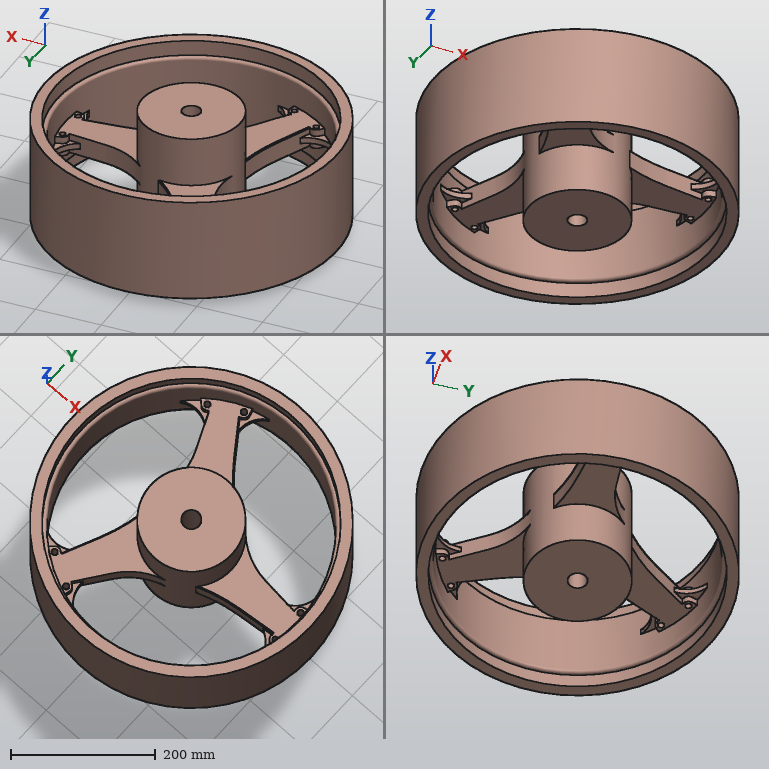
import cadquery as cq
import math

RIM_RADIUS = 223.5
RIM_HEIGHT = 155.5
BORE_RADIUS = 200.0
COUNTERBORE_RADIUS = 206.5
COUNTERBORE_DEPTH = 23.3
SHOULDER_FILLET = 4.0

HUB_RADIUS = 75.0
HUB_HEIGHT = 180.0
SHAFT_HOLE_RADIUS = 14.0

ARM_COUNT = 3
ARM_THICKNESS = 30.0
ARM_AXIS_OFFSET = -8.0
ARM_END_RADIUS = 198.0
ARM_ROOT_ANGLE = 43.0
TAPER_START = 120.7
TAPER_START_HALF_WIDTH = 27.7
TAPER_ANGLE = 5.8
ARM_EDGE_CHAMFER = 1.55

BOLT_DISTANCE = 188.0
BOLT_SPACING = 52.0
BOLT_HOLE_RADIUS = 4.5
LUG_RADIUS = 8.5
LUG_FLARE_ANGLE = 15.0

FLANGE_THICKNESS = 9.0
FLANGE_ARC_DISTANCE = 145.5
FLANGE_ARC_OFFSET = 62.0
FLANGE_ARC_RADIUS = 42.0

SIDES = (1, -1)


def disc(radius, thickness):
    """A round plate about the Z axis, centred on the mid-plane."""
    return cq.Workplane("XY").circle(radius).extrude(thickness / 2, both=True)


def make_rim():
    """Ring with a counterbore at each end and rounded shoulders at the bore."""
    half_height = RIM_HEIGHT / 2
    shoulder = half_height - COUNTERBORE_DEPTH
    rim = (
        cq.Workplane("XZ")
        .polyline([
            (BORE_RADIUS, -shoulder),
            (COUNTERBORE_RADIUS, -shoulder),
            (COUNTERBORE_RADIUS, -half_height),
            (RIM_RADIUS, -half_height),
            (RIM_RADIUS, half_height),
            (COUNTERBORE_RADIUS, half_height),
            (COUNTERBORE_RADIUS, shoulder),
            (BORE_RADIUS, shoulder),
        ])
        .close()
        .revolve(360, (0, 0, 0), (0, 1, 0))
    )
    return rim.edges(cq.selectors.RadiusNthSelector(0)).fillet(SHOULDER_FILLET)


def arm_half(side):
    """One side of an arm's tapering web, from the hub centre outward, with its axis along X."""
    run = ARM_END_RADIUS - TAPER_START
    end_half_width = TAPER_START_HALF_WIDTH - run * math.tan(math.radians(TAPER_ANGLE))
    root_angle = math.radians(ARM_ROOT_ANGLE)
    root_x = HUB_RADIUS * math.cos(root_angle)
    root_y = side * HUB_RADIUS * math.sin(root_angle) - ARM_AXIS_OFFSET
    return (
        cq.Workplane("XY")
        .moveTo(0, 0)
        .lineTo(ARM_END_RADIUS, 0)
        .lineTo(ARM_END_RADIUS, side * end_half_width)
        .lineTo(TAPER_START, side * TAPER_START_HALF_WIDTH)
        .tangentArcPoint((root_x, root_y), relative=False)
        .close()
        .extrude(ARM_THICKNESS / 2, both=True)
    )


def chamfered_arm_half(side):
    """Arm half with the top edge of its curved and straight flank chamfered."""
    flank = cq.selectors.BoxSelector(
        (HUB_RADIUS, side * TAPER_START_HALF_WIDTH / 2, 0),
        (ARM_END_RADIUS - LUG_RADIUS, side * HUB_RADIUS, ARM_THICKNESS),
    )
    return arm_half(side).faces(">Z").edges(flank).chamfer(ARM_EDGE_CHAMFER)


def lug(side):
    """Rounded ear around a bolt hole, flaring outward to the end of the arm."""
    bolt_y = BOLT_SPACING / 2
    inner_x = BOLT_DISTANCE - LUG_RADIUS
    flare = math.radians(LUG_FLARE_ANGLE)
    flare_x = BOLT_DISTANCE - LUG_RADIUS * math.sin(flare)
    flare_y = bolt_y + LUG_RADIUS * math.cos(flare)
    mid_angle = (3 * math.pi / 2 + flare) / 2
    mid_x = BOLT_DISTANCE + LUG_RADIUS * math.cos(mid_angle)
    mid_y = bolt_y + LUG_RADIUS * math.sin(mid_angle)
    end_y = flare_y + (BORE_RADIUS - flare_x) * math.tan(flare)
    return (
        cq.Workplane("XY")
        .moveTo(inner_x, 0)
        .lineTo(inner_x, side * bolt_y)
        .threePointArc((mid_x, side * mid_y), (flare_x, side * flare_y))
        .lineTo(BORE_RADIUS, side * end_y)
        .lineTo(BORE_RADIUS, 0)
        .close()
        .extrude(ARM_THICKNESS / 2, both=True)
    )


def flange():
    """Thin plate across the arm end, hollowed by a round scoop on each side."""
    length = BORE_RADIUS - FLANGE_ARC_DISTANCE
    width = 2 * (FLANGE_ARC_OFFSET + FLANGE_ARC_RADIUS / 2)
    plate = (
        cq.Workplane("XY")
        .center(FLANGE_ARC_DISTANCE + length / 2, 0)
        .rect(length, width)
        .extrude(FLANGE_THICKNESS / 2, both=True)
    )
    scoops = (
        cq.Workplane("XY")
        .pushPoints([(FLANGE_ARC_DISTANCE, side * FLANGE_ARC_OFFSET) for side in SIDES])
        .circle(FLANGE_ARC_RADIUS)
        .extrude(FLANGE_THICKNESS, both=True)
    )
    return plate.cut(scoops)


def make_arm():
    """Complete arm pointing along X, set beside the hub centre and kept inside the rim bore."""
    arm = arm_half(1).union(chamfered_arm_half(-1)).union(flange())
    for side in SIDES:
        arm = arm.union(lug(side))
    bolt_holes = (
        cq.Workplane("XY")
        .pushPoints([(BOLT_DISTANCE, side * BOLT_SPACING / 2) for side in SIDES])
        .circle(BOLT_HOLE_RADIUS)
        .extrude(ARM_THICKNESS, both=True)
    )
    arm = arm.cut(bolt_holes).intersect(disc(ARM_END_RADIUS, ARM_THICKNESS))
    return arm.translate((0, ARM_AXIS_OFFSET, 0)).intersect(disc(BORE_RADIUS, ARM_THICKNESS))


def make_spider():
    """Hub with its arms and a shaft hole through the middle."""
    spider = disc(HUB_RADIUS, HUB_HEIGHT)
    arm = make_arm()
    for index in range(ARM_COUNT):
        spider = spider.union(arm.rotate((0, 0, 0), (0, 0, 1), index * 360 / ARM_COUNT))
    return spider.cut(disc(SHAFT_HOLE_RADIUS, HUB_HEIGHT))


rim = make_rim()
spider = make_spider()
result = cq.Compound.makeCompound([*rim.solids().vals(), *spider.solids().vals()])